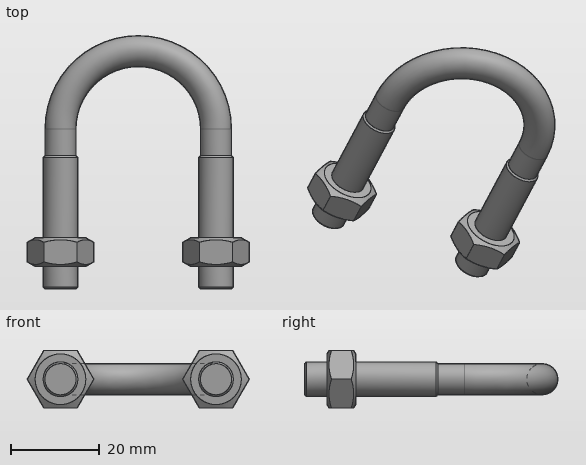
import cadquery as cq
import math

leg_spacing = 35.0
rod_diameter = 7.0
thread_diameter = 7.8
thread_length = 30.0
thread_chamfer = 0.4
overall_length = 57.0
nut_across_flats = 13.0
nut_height = 6.5
nut_face_diameter = 11.4
nut_chamfer_angle = 30.0
nut_end_offset = 5.0

bend_radius = leg_spacing / 2
leg_end_y = bend_radius + rod_diameter / 2 - overall_length
thread_top_y = leg_end_y + thread_length
nut_across_corners = nut_across_flats / math.cos(math.radians(30))


def make_bent_rod():
    """Round rod with a half-circle bend and two plain legs."""
    path = (
        cq.Workplane("XY")
        .moveTo(-bend_radius, thread_top_y)
        .lineTo(-bend_radius, 0)
        .threePointArc((0, bend_radius), (bend_radius, 0))
        .lineTo(bend_radius, thread_top_y)
    )
    start = cq.Workplane("XZ", origin=(-bend_radius, thread_top_y, 0))
    return start.circle(rod_diameter / 2).sweep(path)


def leg_plane(x, y):
    """Plane on a leg axis whose normal points along +Y, towards the bend."""
    return cq.Workplane(cq.Plane(origin=(x, y, 0), xDir=(1, 0, 0), normal=(0, 1, 0)))


def make_threaded_end(x):
    """Plain cylinder standing for the thread, chamfered at both ends."""
    cylinder = leg_plane(x, leg_end_y).circle(thread_diameter / 2).extrude(thread_length)
    return cylinder.edges().chamfer(thread_chamfer)


def make_nut(x):
    """Hexagon nut with conical chamfers trimming the corners of both faces."""
    nut_y = leg_end_y + nut_end_offset
    hexagon = leg_plane(x, nut_y).polygon(6, nut_across_corners).extrude(nut_height)
    face_radius = nut_face_diameter / 2
    corner_radius = nut_across_corners / 2
    corner_drop = (corner_radius - face_radius) * math.tan(math.radians(nut_chamfer_angle))
    envelope = (
        cq.Workplane("XY", origin=(x, nut_y, 0))
        .moveTo(0, 0)
        .lineTo(face_radius, 0)
        .lineTo(corner_radius, corner_drop)
        .lineTo(corner_radius, nut_height - corner_drop)
        .lineTo(face_radius, nut_height)
        .lineTo(0, nut_height)
        .close()
        .revolve(360, (0, 0, 0), (0, 1, 0))
    )
    return hexagon.intersect(envelope)


result = make_bent_rod()
for leg_x in (-bend_radius, bend_radius):
    result = result.union(make_threaded_end(leg_x)).union(make_nut(leg_x))